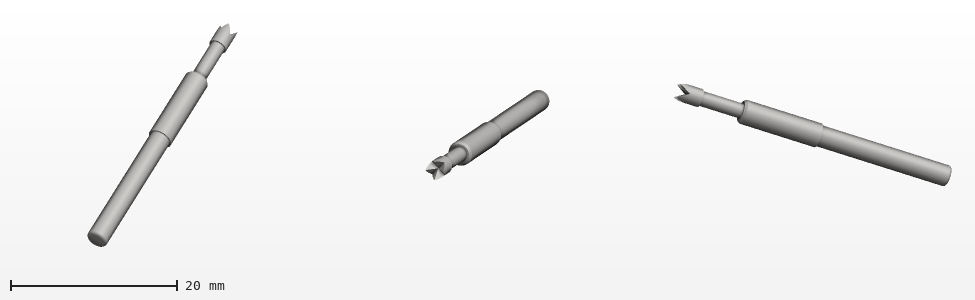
import cadquery as cq
import math

total_length = 35.3

barrel_radius = 1.3
barrel_end_fillet = 0.4

collar_radius = 3.0 / 2
collar_start = 16.95
collar_end = 27.0
collar_chamfer_length = 0.32
collar_chamfer_depth = 0.25

plunger_radius = 0.92
crown_radius = 1.13
crown_length = 3.0
crown_start = total_length - crown_length
valley_depth = 1.35

clearance = 0.35


def cylinder(radius, start, end):
    """Cylinder on the Y axis between two Y positions."""
    plane = cq.Plane(origin=(0, start, 0), xDir=(1, 0, 0), normal=(0, 1, 0))
    return cq.Workplane(plane).circle(radius).extrude(end - start)


def make_barrel():
    return cylinder(barrel_radius, 0, collar_start).faces("<Y").edges().fillet(barrel_end_fillet)


def make_collar():
    collar = cylinder(collar_radius, collar_start, collar_end)
    return collar.faces(">Y").edges().chamfer(collar_chamfer_length, collar_chamfer_depth)


def make_groove(angle):
    """V groove across the crown, its valley turned about Y by the given angle."""
    tip_offset = crown_radius * math.sin(math.radians(45))
    valley_y = total_length - valley_depth
    top_y = total_length + clearance
    top_half_width = tip_offset * (valley_depth + clearance) / valley_depth
    groove = (
        cq.Workplane("XY")
        .moveTo(0, valley_y)
        .lineTo(top_half_width, top_y)
        .lineTo(-top_half_width, top_y)
        .close()
        .extrude(crown_radius + clearance, both=True)
    )
    return groove.rotate((0, 0, 0), (0, 1, 0), angle)


def make_crown():
    crown = cylinder(crown_radius, crown_start, total_length)
    for angle in (45, -45):
        crown = crown.cut(make_groove(angle))
    return crown


plunger = cylinder(plunger_radius, collar_end, crown_start)
result = make_barrel().union(make_collar()).union(plunger).union(make_crown())